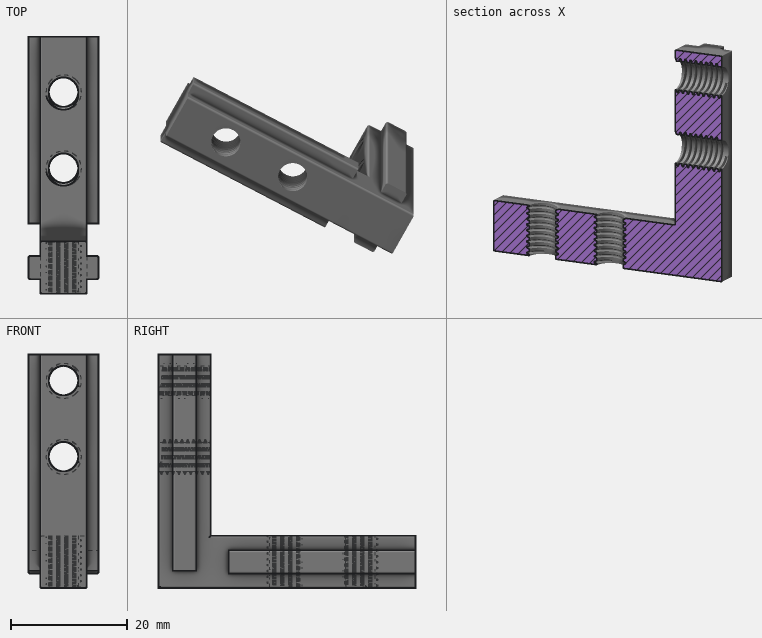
import cadquery as cq

leg_y = 44.0
leg_z = 40.0
width = 12.0

core_width = 8.0
leg_depth = 9.0
flange_thickness = 4.0
flange_near = (leg_depth - flange_thickness) / 2
flange_y_length = 32.0
flange_z_length = 37.0
edge_radius = 0.35

holes_per_leg = 2
hole_spacing = 13.0
end_to_hole_y = 9.5
end_to_hole_z = 4.5
minor_diameter = 5.0
major_diameter = 6.0
thread_pitch = 1.0
groove_mouth = 0.5
groove_root = 0.1
groove_overlap = 0.1
groove_start = 0.3
thread_turn = 20.0
bore_overrun = 1.0
bore_seam_angle = 77.0


def make_core():
    """L-shaped core with its side edges rounded."""
    return (
        cq.Workplane("YZ")
        .polyline([
            (0, 0),
            (leg_y, 0),
            (leg_y, leg_depth),
            (leg_depth, leg_depth),
            (leg_depth, leg_z),
            (0, leg_z),
        ])
        .close()
        .extrude(core_width / 2, both=True)
        .faces("<X or >X")
        .edges("not(>Y or >Z)")
        .fillet(edge_radius)
    )


def make_flange_y():
    """Flange bar along the horizontal leg."""
    return (
        cq.Workplane("XY")
        .box(width, flange_y_length, flange_thickness, centered=(True, False, False))
        .edges("|Y")
        .fillet(edge_radius)
        .translate((0, leg_y - flange_y_length, flange_near))
    )


def make_flange_z():
    """Flange bar along the upright leg."""
    return (
        cq.Workplane("XY")
        .box(width, flange_thickness, flange_z_length, centered=(True, False, False))
        .edges("|Z")
        .fillet(edge_radius)
        .translate((0, flange_near, leg_z - flange_z_length))
    )


def make_thread_groove():
    """Helical V-groove about +Z, starting just inside Z = 0 and running out past leg_depth."""
    inner_radius = minor_diameter / 2 - groove_overlap
    groove_depth = (major_diameter - minor_diameter) / 2
    flank_slope = (groove_mouth - groove_root) / 2 / groove_depth
    half_inner = groove_mouth / 2 + flank_slope * groove_overlap
    half_root = groove_root / 2
    helix_height = leg_depth + thread_pitch - groove_start
    helix = cq.Wire.makeHelix(thread_pitch, helix_height, inner_radius)
    groove = (
        cq.Workplane("XZ")
        .polyline([
            (inner_radius, -half_inner),
            (major_diameter / 2, -half_root),
            (major_diameter / 2, half_root),
            (inner_radius, half_inner),
        ])
        .close()
        .sweep(cq.Workplane(helix), isFrenet=True)
    )
    return groove.translate((0, 0, groove_start))


def make_threaded_hole():
    """Cutter for one threaded hole along +Z, through the depth of a leg."""
    bore = (
        cq.Workplane("XY")
        .circle(minor_diameter / 2)
        .extrude(leg_depth + 2 * bore_overrun)
        .translate((0, 0, -bore_overrun))
        .rotate((0, 0, 0), (0, 0, 1), bore_seam_angle)
    )
    cutter = bore.union(make_thread_groove(), clean=False)
    return cutter.rotate((0, 0, 0), (0, 0, 1), thread_turn)


result = make_core().union(make_flange_y()).union(make_flange_z())

hole_cutter = make_threaded_hole()
upright_hole_cutter = hole_cutter.rotate((0, 0, 0), (1, 0, 0), -90)
for row in range(holes_per_leg):
    hole_y = leg_y - end_to_hole_y - row * hole_spacing
    hole_z = leg_z - end_to_hole_z - row * hole_spacing
    result = result.cut(hole_cutter.translate((0, hole_y, 0)))
    result = result.cut(upright_hole_cutter.translate((0, 0, hole_z)))